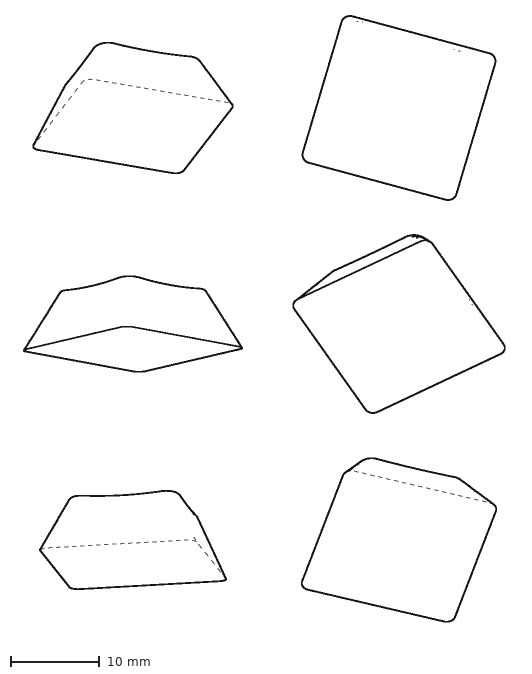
import cadquery as cq

base_side = 18.0
base_corner_radius = 1.0
upper_side = 12.0
upper_corner_radius = 2.0
taper_height = 7.5

dish_radius = 41.0
dish_bottom_height = 6.0

rim_fillet_radius = 0.5


def rounded_square(side, corner_radius):
    return cq.Sketch().rect(side, side).vertices().fillet(corner_radius)


def tapered_body():
    base = rounded_square(base_side, base_corner_radius)
    upper = rounded_square(upper_side, upper_corner_radius)
    raised_upper = upper.moved(cq.Location(cq.Vector(0, 0, taper_height)))
    return cq.Workplane("XY").placeSketch(base, raised_upper).loft()


def cut_dish(body):
    sphere_center_height = dish_bottom_height + dish_radius
    dish = cq.Workplane("XY").sphere(dish_radius).translate((0, 0, sphere_center_height))
    return body.cut(dish)


def round_rim(body):
    return body.faces("%SPHERE").edges().fillet(rim_fillet_radius)


result = round_rim(cut_dish(tapered_body()))